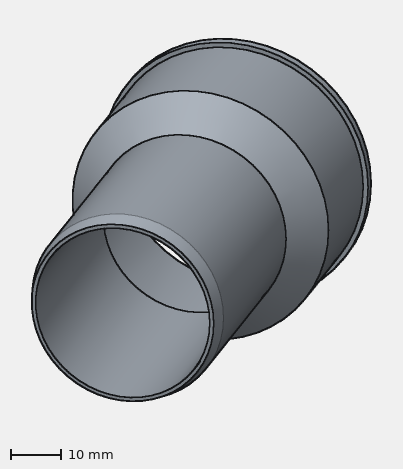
import cadquery as cq

length = 79.0
spigot_diameter = 40.0
socket_bore = 50.0
bore_diameter = 36.4
rim_diameter = 55.6
rim_width = 2.1
socket_length = 25.8
tip_length = 3.4
tip_diameter = 38.1

wall = (spigot_diameter - bore_diameter) / 2
socket_diameter = socket_bore + 2 * wall

cone_length = (socket_diameter - spigot_diameter) / 2

rim_start = length - rim_width
cone_end = length - socket_length
cone_start = cone_end - cone_length

half_section = (
    cq.Workplane("XY")
    .moveTo(bore_diameter / 2, 0)
    .lineTo(tip_diameter / 2, 0)
    .lineTo(spigot_diameter / 2, tip_length)
    .lineTo(spigot_diameter / 2, cone_start)
    .lineTo(socket_diameter / 2, cone_end)
    .lineTo(socket_diameter / 2, rim_start)
    .lineTo(rim_diameter / 2, rim_start)
    .lineTo(rim_diameter / 2, length)
    .lineTo(socket_bore / 2, length)
    .lineTo(socket_bore / 2, cone_end)
    .lineTo(bore_diameter / 2, cone_start)
    .close()
)

result = half_section.revolve(360, (0, 0, 0), (0, 1, 0))